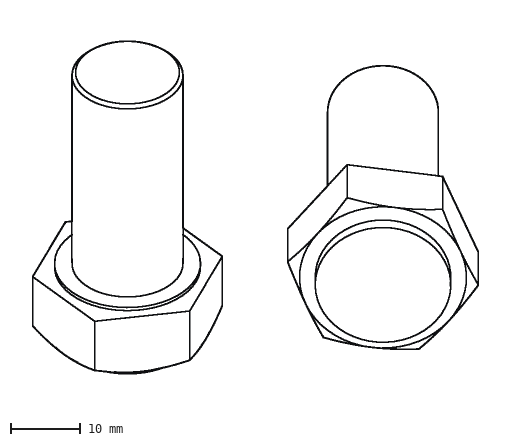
import cadquery as cq
import math

total_height = 47.0
shank_diameter = 16.0
shank_chamfer = 0.5

head_across_flats = 24.0
head_across_corners = head_across_flats / math.cos(math.radians(30))
head_height = 9.95
head_chamfer_angle = 30.0

base_diameter = 19.5
base_height = 2.0
collar_diameter = 21.0
collar_height = 0.55

head_top = base_height + head_height


def cylinder(diameter, bottom, top):
    """Upright cylinder on the Z axis between two heights."""
    return cq.Workplane("XY").workplane(offset=bottom).circle(diameter / 2).extrude(top - bottom)


def hex_head():
    """Hexagonal prism whose lower corners are cut back by a cone."""
    prism = (
        cq.Workplane("XY")
        .workplane(offset=base_height)
        .polygon(6, head_across_corners)
        .extrude(head_height)
        .rotate((0, 0, 0), (0, 0, 1), 30)
    )
    inner_radius = head_across_flats / 2
    outer_radius = head_across_corners
    cone_rise = (outer_radius - inner_radius) * math.tan(math.radians(head_chamfer_angle))
    envelope = (
        cq.Workplane("XZ")
        .moveTo(0, base_height)
        .lineTo(inner_radius, base_height)
        .lineTo(outer_radius, base_height + cone_rise)
        .lineTo(outer_radius, head_top)
        .lineTo(0, head_top)
        .close()
        .revolve(360, (0, 0, 0), (0, 1, 0))
    )
    return prism.intersect(envelope)


base = cylinder(base_diameter, 0, base_height)
collar = cylinder(collar_diameter, head_top, head_top + collar_height)
shank = cylinder(shank_diameter, head_top, total_height).faces(">Z").chamfer(shank_chamfer)

result = hex_head().union(base).union(collar).union(shank)